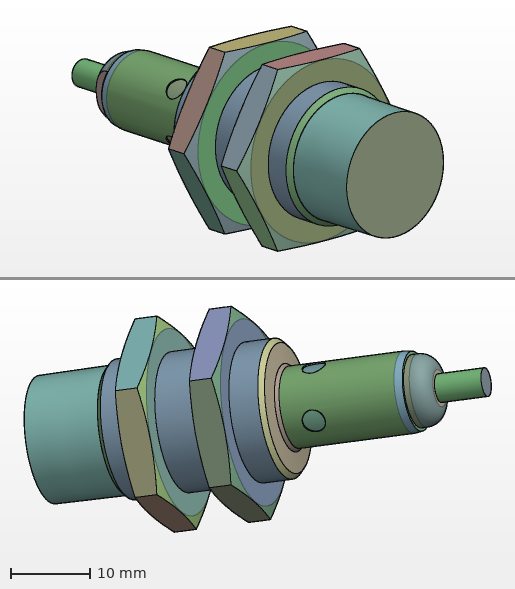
import cadquery as cq
import math

total_length = 59.35

cable_radius = 3.7 / 2
gland_start = 6.3
gland_radius = 9.4 / 2
gland_rounding = 2.3
gland_flat_offset = 3.7
gland_flat_end = 8.85

sleeve_start = 9.4
sleeve_radius = 10.5 / 2
sleeve_tip_radius = 5.1
sleeve_taper_length = 1.05

barrel_start = 26.8
barrel_end = 49.4
barrel_radius = 18.0 / 2
barrel_chamfer = 0.65
rear_face_rise = 0.3
collar_radius = 5.65
flare_length = 0.5

cap_root_radius = 8.3
cap_face_radius = 8.2

window_diameter = 3.0
window_position = 21.9
window_depth = 0.2
window_count = 4
first_window_angle = 45.0

nut_width = 24.0
nut_thickness = 4.0
nut_positions = [31.35, 41.4]
nut_chamfer_radius = nut_width / 2 - 0.05
nut_chamfer_angle = 15.0


def make_profile_body():
    """Revolved cable, gland, sleeve, barrel and cap."""
    gland_shoulder = gland_start + gland_rounding
    gland_face_radius = gland_radius - gland_rounding
    arc_offset = gland_rounding * math.sqrt(0.5)
    flare_end = barrel_start - rear_face_rise
    profile = (
        cq.Workplane("XY")
        .lineTo(0, cable_radius)
        .lineTo(gland_start, cable_radius)
        .lineTo(gland_start, gland_face_radius)
        .threePointArc(
            (gland_shoulder - arc_offset, gland_face_radius + arc_offset),
            (gland_shoulder, gland_radius),
        )
        .lineTo(sleeve_start, gland_radius)
        .lineTo(sleeve_start, sleeve_tip_radius)
        .lineTo(sleeve_start + sleeve_taper_length, sleeve_radius)
        .lineTo(flare_end - flare_length, sleeve_radius)
        .lineTo(flare_end, collar_radius)
        .lineTo(barrel_start, barrel_radius - barrel_chamfer)
        .lineTo(barrel_start + barrel_chamfer, barrel_radius)
        .lineTo(barrel_end - barrel_chamfer, barrel_radius)
        .lineTo(barrel_end, barrel_radius - barrel_chamfer)
        .lineTo(barrel_end, cap_root_radius)
        .lineTo(total_length, cap_face_radius)
        .lineTo(total_length, 0)
        .close()
    )
    return profile.revolve(360, (0, 0, 0), (1, 0, 0))


def make_gland_flat_cutter():
    """Block that cuts the flat on the -Y side of the gland."""
    return cq.Workplane("XY").box(
        gland_flat_end - gland_start, gland_radius, 2 * gland_radius, centered=(False, False, True)
    ).translate((gland_start, -gland_flat_offset - gland_radius, 0))


def make_window_cutter(angle):
    """Round, shallow recess whose floor follows the sleeve."""
    floor = cq.Workplane("YZ").circle(sleeve_radius - window_depth).extrude(total_length)
    return (
        cq.Workplane("XY")
        .center(window_position, 0)
        .circle(window_diameter / 2)
        .extrude(2 * sleeve_radius)
        .cut(floor)
        .rotate((0, 0, 0), (1, 0, 0), angle)
    )


def make_sensor():
    sensor = make_profile_body().cut(make_gland_flat_cutter())
    for index in range(window_count):
        angle = first_window_angle + index * 360 / window_count
        sensor = sensor.cut(make_window_cutter(angle))
    return sensor


def make_nut(start):
    """Hexagon nut with both faces chamfered, corners pointing along Y."""
    corner_radius = nut_width / 2 / math.cos(math.pi / 6)
    chamfer_depth = (corner_radius - nut_chamfer_radius) * math.tan(math.radians(nut_chamfer_angle))
    hexagon = (
        cq.Workplane("YZ")
        .polygon(6, 2 * corner_radius)
        .circle(barrel_radius)
        .extrude(nut_thickness)
    )
    chamfer_envelope = (
        cq.Workplane("XY")
        .lineTo(0, nut_chamfer_radius)
        .lineTo(chamfer_depth, corner_radius)
        .lineTo(nut_thickness - chamfer_depth, corner_radius)
        .lineTo(nut_thickness, nut_chamfer_radius)
        .lineTo(nut_thickness, 0)
        .close()
        .revolve(360, (0, 0, 0), (1, 0, 0))
    )
    return hexagon.intersect(chamfer_envelope).translate((start, 0, 0))


sensor = make_sensor()
nuts = [make_nut(start) for start in nut_positions]

result = cq.Compound.makeCompound([sensor.val(), *[nut.val() for nut in nuts]])